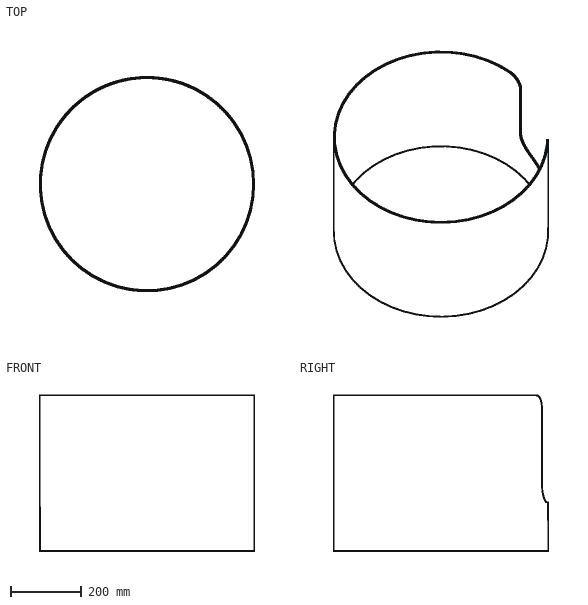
import cadquery as cq
import math

outer_diameter = 609.5
height = 443.0
wall = 4.0
outer_radius = outer_diameter / 2

opening_half_width = 102.5
opening_depth = 304.0
rim_radius = 40.0
floor_radius = 50.0
opening_floor = height - opening_depth


def make_shell():
    """Thin open-ended tube standing on the XY plane."""
    return cq.Workplane("XY").circle(outer_radius).circle(outer_radius - wall).extrude(height)


def make_opening_cutter():
    """U-shaped prism with rounded floor corners and a mouth flared by arcs at the rim."""
    half = opening_half_width
    mouth = half + rim_radius
    floor_half = half - floor_radius
    rim_bend = rim_radius * math.sqrt(0.5)
    floor_bend = floor_radius * math.sqrt(0.5)
    flare_z = height - rim_radius
    floor_z = opening_floor + floor_radius
    profile = (
        cq.Workplane("XZ")
        .moveTo(-mouth, height)
        .threePointArc((-mouth + rim_bend, flare_z + rim_bend), (-half, flare_z))
        .lineTo(-half, floor_z)
        .threePointArc((-floor_half - floor_bend, floor_z - floor_bend), (-floor_half, opening_floor))
        .lineTo(floor_half, opening_floor)
        .threePointArc((floor_half + floor_bend, floor_z - floor_bend), (half, floor_z))
        .lineTo(half, flare_z)
        .threePointArc((mouth - rim_bend, flare_z + rim_bend), (mouth, height))
        .close()
    )
    return profile.extrude(-outer_diameter)


result = make_shell().cut(make_opening_cutter())